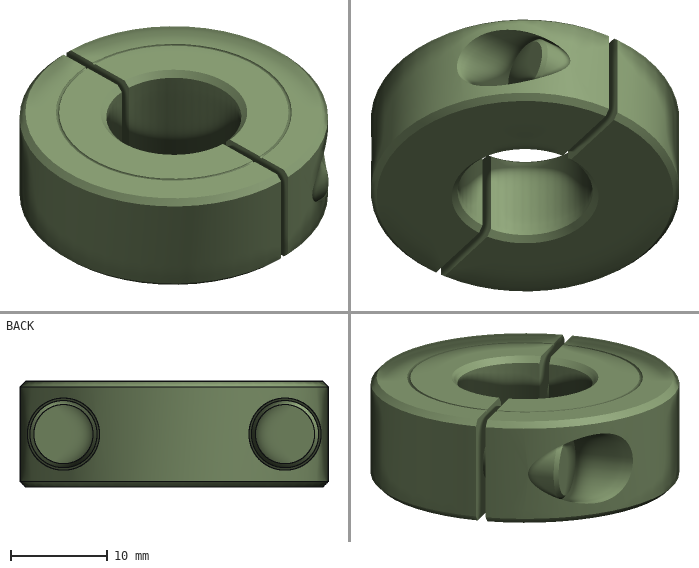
import cadquery as cq

outer_radius = 16.0
bore_radius = 7.0
width = 11.0
edge_chamfer = 0.6
split_gap = 1.05

groove_ring_radius = 12.05
groove_round = 0.15

screw_offset = 11.5
shank_diameter = 4.0
shank_length = 10.0
head_radius = 3.5
head_height = 4.0
head_chamfer = 0.4
head_seat_y = 4.0
counterbore_radius = 3.75

top_z = width / 2
shank_radius = shank_diameter / 2
shank_end_y = head_seat_y - shank_length
screw_positions = (-screw_offset, screw_offset)


def rod_along_y(x, start_y, length, radius):
    """Cylinder running in +Y from start_y, at mid-width."""
    return cq.Workplane("XZ", origin=(x, start_y, 0)).circle(radius).extrude(-length)


def make_ring():
    """Full collar ring with chamfered rims and the face groove."""
    ring = (
        cq.Workplane("XY")
        .circle(outer_radius)
        .circle(bore_radius)
        .extrude(top_z, both=True)
        .faces("<Z or >Z")
        .edges()
        .chamfer(edge_chamfer)
    )
    groove = cq.Workplane(cq.Solid.makeTorus(groove_ring_radius, groove_round, cq.Vector(0, 0, top_z)))
    return ring.cut(groove)


def make_half(side):
    """Half of the ring on the +Y (side = 1) or -Y (side = -1) side, with its shank holes."""
    half_space = cq.Workplane("XY").box(2 * outer_radius, outer_radius, width).translate(
        (0, side * (split_gap + outer_radius) / 2, 0)
    )
    half = make_ring().intersect(half_space)
    for x in screw_positions:
        half = half.cut(rod_along_y(x, shank_end_y, shank_length, shank_radius))
    return half


def make_head_half():
    """Half on the +Y side, with counterbores that open through the rim."""
    half = make_half(1)
    for x in screw_positions:
        half = half.cut(rod_along_y(x, head_seat_y, outer_radius, counterbore_radius))
    return half


def make_thread_half():
    """Half on the -Y side, with blind holes that take the screw ends."""
    return make_half(-1)


def make_screw(x):
    """Cap screw with its head seated on the counterbore floor."""
    head = rod_along_y(x, head_seat_y, head_height, head_radius).faces(">Y").chamfer(head_chamfer)
    shank = rod_along_y(x, shank_end_y, shank_length, shank_radius)
    return head.union(shank)


head_half = make_head_half()
thread_half = make_thread_half()
screws = [make_screw(x) for x in screw_positions]

result = cq.Compound.makeCompound(
    [head_half.val(), thread_half.val(), *[screw.val() for screw in screws]]
)